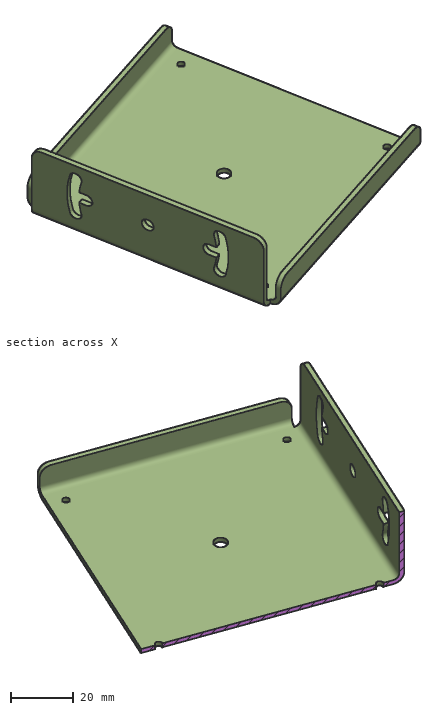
import cadquery as cq
import math

length_x = 95.0
length_y = 92.0
front_height = 30.0
side_height = 12.0
thickness = 1.9
bend_radius = 4.0
corner_radius = 4.0

corner_hole_diameter = 2.5
corner_hole_pitch = 77.1
center_hole_diameter = 4.75
hole_inset = 6.2

pivot_height = 17.0
slot_width = 4.5
slot_path_radius = 28.0
slot_half_angle = 15.5
branch_end_x = 23.0

base_half_x = length_x / 2 - bend_radius
rear_y = length_y / 2
front_y = -length_y / 2
bend_start_y = front_y + bend_radius
side_length = rear_y - bend_start_y
side_mid_y = (rear_y + bend_start_y) / 2
corner_holes_y = rear_y - hole_inset - corner_hole_pitch / 2


def flange_profile(plane, height):
    """Bent strip that starts at the plane origin, runs outward and turns up."""
    inner_radius = bend_radius - thickness
    diagonal = math.sqrt(0.5)
    return (
        cq.Workplane(plane)
        .lineTo(0, thickness)
        .threePointArc(
            (inner_radius * diagonal, bend_radius - inner_radius * diagonal),
            (inner_radius, bend_radius),
        )
        .lineTo(inner_radius, height)
        .lineTo(bend_radius, height)
        .lineTo(bend_radius, bend_radius)
        .threePointArc(
            (bend_radius * diagonal, bend_radius * (1 - diagonal)), (0, 0)
        )
        .close()
    )


def side_flange():
    """Flange along the +X side with both top corners rounded."""
    plane = cq.Plane(origin=(base_half_x, rear_y, 0), xDir=(1, 0, 0), normal=(0, -1, 0))
    flange = flange_profile(plane, side_height).extrude(side_length)
    return flange.faces(">Z").edges("|X").fillet(corner_radius)


def front_flange():
    """Tall flange along the -Y side with both top corners rounded."""
    plane = cq.Plane(origin=(base_half_x, bend_start_y, 0), xDir=(0, -1, 0), normal=(-1, 0, 0))
    flange = flange_profile(plane, front_height).extrude(2 * base_half_x)
    return flange.faces(">Z").edges("|Y").fillet(corner_radius)


def front_plane():
    """Sketch plane on the outer front face, centered on the pivot hole."""
    return cq.Workplane("XZ", origin=(0, front_y, pivot_height))


def polar_point(radius, angle):
    return (radius * math.cos(math.radians(angle)), radius * math.sin(math.radians(angle)))


def branched_slot():
    """Cutter for the +X arc slot and its branch toward the pivot hole."""
    inner = slot_path_radius - slot_width / 2
    outer = slot_path_radius + slot_width / 2
    arc_slot = (
        front_plane()
        .moveTo(*polar_point(inner, -slot_half_angle))
        .threePointArc((inner, 0), polar_point(inner, slot_half_angle))
        .lineTo(*polar_point(outer, slot_half_angle))
        .threePointArc((outer, 0), polar_point(outer, -slot_half_angle))
        .close()
        .extrude(-thickness)
    )
    round_ends = (
        front_plane()
        .pushPoints([
            polar_point(slot_path_radius, slot_half_angle),
            polar_point(slot_path_radius, -slot_half_angle),
            (branch_end_x, 0),
        ])
        .circle(slot_width / 2)
        .extrude(-thickness)
    )
    branch = (
        front_plane()
        .center((branch_end_x + slot_path_radius) / 2, 0)
        .rect(slot_path_radius - branch_end_x, slot_width)
        .extrude(-thickness)
    )
    return arc_slot.union(round_ends).union(branch)


base = (
    cq.Workplane("XY")
    .center(0, side_mid_y)
    .rect(2 * base_half_x, side_length)
    .extrude(thickness)
)
right_flange = side_flange()
result = base.union(right_flange).union(right_flange.mirror("YZ")).union(front_flange())

corner_holes = (
    cq.Workplane("XY")
    .center(0, corner_holes_y)
    .rect(corner_hole_pitch, corner_hole_pitch, forConstruction=True)
    .vertices()
    .circle(corner_hole_diameter / 2)
    .extrude(thickness)
)
center_hole = (
    cq.Workplane("XY")
    .center(0, side_mid_y)
    .circle(center_hole_diameter / 2)
    .extrude(thickness)
)
result = result.cut(corner_holes).cut(center_hole)

pivot_hole = front_plane().circle(slot_width / 2).extrude(-thickness)
slot = branched_slot()
result = result.cut(pivot_hole).cut(slot).cut(slot.mirror("YZ"))